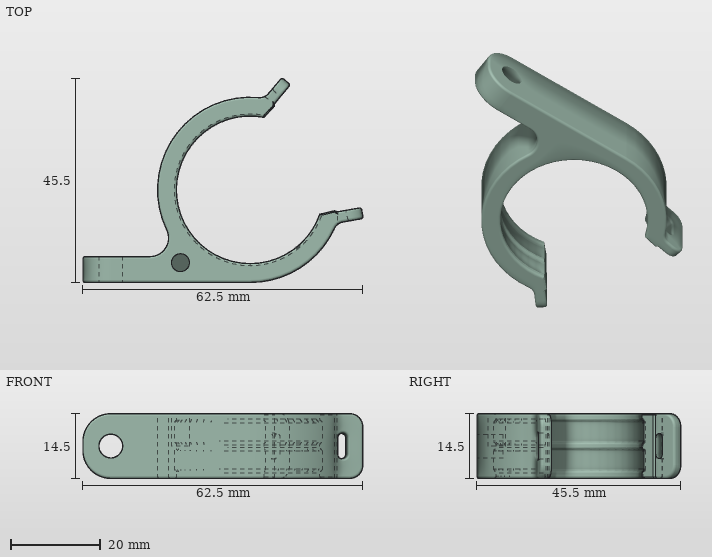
import cadquery as cq
import math


overall_length = 62.5
height = 14.5
half_height = height / 2
ring_radius = 20.7
bore_radius = 16.45
edge_radius = 0.55

lug_front_y = -ring_radius
lug_thickness = 5.8
lug_back_y = lug_front_y + lug_thickness
lug_corner_radius = 6.25
lug_fillet_radius = 4.1
screw_hole_diameter = 5.25

pin_hole_x = -15.55
pin_hole_y = -16.25
pin_hole_diameter = 4.0
pin_hole_depth = half_height

mouth_angle = 30.0
tip_angle = 20.0
tip_inner_offset = 8.2
tip_outer_offset = 10.7
tip_end = 23.75
tip_start = 18.2
tip_neck_radius = 2.5
tip_corner_radius = 3.0
lip_angle = 49.3
lip_end = (14.0, 13.45)
lip_chamfer = 0.3

slot_width = 2.4
slot_length = 6.0
slot_middle = 19.2
slot_edge_radius = 0.5
slot_draft = 5.0
slot_depth = 5.0
slot_start = 0.6

rib_pitch = 6.3
rib_crest = 0.55
rib_height = 0.5
rib_round = 0.5


def polar(radius, degrees):
    angle = math.radians(degrees)
    return (radius * math.cos(angle), radius * math.sin(angle))


def from_mouth(along, across, side):
    """Point given along and across the mouth line; side is +1 (upper) or -1 (lower)."""
    ux, uy = polar(1, mouth_angle)
    return (along * ux - side * across * uy, along * uy + side * across * ux)


def from_tip(along, offset, side):
    """Point given along the tip direction and by its distance from the ring axis."""
    tx, ty = polar(1, tip_angle)
    return from_mouth(along * tx - offset * ty, along * ty + offset * tx, side)


def from_mouth_polar(radius, degrees, side):
    return from_mouth(*polar(radius, degrees), side)


neck_reach = ring_radius + tip_neck_radius
neck_offset = tip_outer_offset + tip_neck_radius
neck_along = math.sqrt(neck_reach ** 2 - neck_offset ** 2)
neck_turn = math.degrees(math.atan2(neck_offset, neck_along))
neck_angle = tip_angle + neck_turn

tip_reach = from_tip(tip_end - edge_radius, tip_outer_offset - edge_radius, -1)[0] + edge_radius
lug_end_x = tip_reach - overall_length

lug_fillet_y = lug_back_y + lug_fillet_radius
lug_fillet_x = -math.sqrt((ring_radius + lug_fillet_radius) ** 2 - lug_fillet_y ** 2)
lug_fillet_angle = math.degrees(math.atan2(lug_fillet_y, lug_fillet_x)) % 360
lug_fillet_end = polar(ring_radius, lug_fillet_angle)
lug_fillet_middle_angle = (lug_fillet_angle - 180 - 90) / 2
lug_fillet_dx, lug_fillet_dy = polar(lug_fillet_radius, lug_fillet_middle_angle)


def neck_middle(side):
    """Middle of the neck arc, which sweeps from facing the ring axis to facing the tip."""
    start_angle = neck_turn + 180
    end_angle = 270
    arc_angle = (start_angle + end_angle) / 2
    along, offset = polar(tip_neck_radius, arc_angle)
    return from_tip(neck_along + along, neck_offset + offset, side)


def make_body():
    upper, lower = 1, -1
    ring_middle = polar(ring_radius, (mouth_angle + neck_angle + lug_fillet_angle) / 2)
    lower_ring_middle = polar(ring_radius, (mouth_angle - neck_angle - 90) / 2)
    outline = (
        cq.Workplane("XY", origin=(0, 0, -half_height))
        .moveTo(0, lug_front_y)
        .lineTo(lug_end_x, lug_front_y)
        .lineTo(lug_end_x, lug_back_y)
        .lineTo(lug_fillet_x, lug_back_y)
        .threePointArc(
            (lug_fillet_x + lug_fillet_dx, lug_fillet_y + lug_fillet_dy),
            lug_fillet_end,
        )
        .threePointArc(ring_middle, from_mouth_polar(ring_radius, neck_angle, upper))
        .threePointArc(neck_middle(upper), from_tip(neck_along, tip_outer_offset, upper))
        .lineTo(*from_tip(tip_end, tip_outer_offset, upper))
        .lineTo(*from_tip(tip_end, tip_inner_offset, upper))
        .lineTo(*from_tip(tip_start, tip_inner_offset, upper))
        .lineTo(*from_mouth(*lip_end, upper))
        .lineTo(*from_mouth_polar(bore_radius, lip_angle, upper))
        .threePointArc(
            polar(bore_radius, mouth_angle + 180),
            from_mouth_polar(bore_radius, lip_angle, lower),
        )
        .lineTo(*from_mouth(*lip_end, lower))
        .lineTo(*from_tip(tip_start, tip_inner_offset, lower))
        .lineTo(*from_tip(tip_end, tip_inner_offset, lower))
        .lineTo(*from_tip(tip_end, tip_outer_offset, lower))
        .lineTo(*from_tip(neck_along, tip_outer_offset, lower))
        .threePointArc(neck_middle(lower), from_mouth_polar(ring_radius, neck_angle, lower))
        .threePointArc(lower_ring_middle, (0, lug_front_y))
        .close()
    )
    return outline.extrude(height)


def midpoint(start, end):
    return ((start[0] + end[0]) / 2, (start[1] + end[1]) / 2)


def edge_near(body, point, z):
    return body.edges(cq.NearestToPointSelector((point[0], point[1], z)))


def round_ends(body):
    """Round the lug end and both tips as seen square to their flat faces."""
    lug_end = (lug_end_x, (lug_front_y + lug_back_y) / 2)
    tip_middle = (tip_inner_offset + tip_outer_offset) / 2
    corners = [(lug_end, lug_corner_radius)]
    for side in (1, -1):
        corners.append((from_tip(tip_end, tip_middle, side), tip_corner_radius))
    for point, radius in corners:
        for z in (half_height, -half_height):
            body = edge_near(body, point, z).fillet(radius)
    return body


def soften_edges(body):
    """Round the outer rims; each fillet runs on along its whole smooth chain of edges."""
    lug_front = (lug_end_x + lug_corner_radius) / 2, lug_front_y
    lug_back = (lug_end_x + lug_corner_radius + lug_fillet_x) / 2, lug_back_y
    tip_flat_middle = (tip_start + tip_end - tip_corner_radius) / 2
    rims = [lug_front, lug_back]
    for side in (1, -1):
        rims.append(from_tip(tip_flat_middle, tip_inner_offset, side))
    for point in rims:
        body = edge_near(body, point, half_height).fillet(edge_radius)
    return body


def bevel_mouth(body):
    """Bevel the rims of each mouth face and of the short step between it and the tip."""
    lip_middle = midpoint(polar(bore_radius, lip_angle), lip_end)
    for side in (1, -1):
        step_middle = midpoint(from_tip(tip_start, tip_inner_offset, side), from_mouth(*lip_end, side))
        for z in (half_height, -half_height):
            rims = edge_near(body, from_mouth(*lip_middle, side), z)
            rims = rims.add(edge_near(body, step_middle, z))
            body = rims.chamfer(lip_chamfer)
    return body


def cut_rim_rounds(body):
    """Round both rims of the bore."""
    rim_radius = bore_radius + edge_radius
    arc_leg = edge_radius * math.sin(math.radians(45))
    for end in (1, -1):
        arc_z = end * (half_height - edge_radius)
        rim = (
            cq.Workplane("XZ")
            .moveTo(bore_radius, arc_z)
            .threePointArc(
                (rim_radius - arc_leg, arc_z + end * arc_leg),
                (rim_radius, end * half_height),
            )
            .lineTo(0, end * half_height)
            .lineTo(0, arc_z)
            .close()
            .revolve(360, (0, 0, 0), (0, 1, 0))
        )
        body = body.cut(rim)
    return body


def cut_bore_grooves(body):
    """Cut two grooves into the bore, leaving three ribs with S-shaped flanks."""
    floor = bore_radius + rib_height
    middle = bore_radius + rib_height / 2
    half_mouth = (rib_pitch - rib_crest) / 2
    turn = math.acos(1 - rib_height / 2 / rib_round)
    half_run = rib_round * math.sin(turn)
    bow_run = rib_round * math.sin(turn / 2)
    bow_rise = rib_round * (1 - math.cos(turn / 2))
    half_floor = half_mouth - 2 * half_run
    for z in (-rib_pitch / 2, rib_pitch / 2):
        groove = (
            cq.Workplane("XZ")
            .moveTo(bore_radius, z - half_mouth)
            .threePointArc(
                (bore_radius + bow_rise, z - half_mouth + bow_run),
                (middle, z - half_mouth + half_run),
            )
            .threePointArc(
                (floor - bow_rise, z - half_floor - bow_run),
                (floor, z - half_floor),
            )
            .lineTo(floor, z + half_floor)
            .threePointArc(
                (floor - bow_rise, z + half_floor + bow_run),
                (middle, z + half_mouth - half_run),
            )
            .threePointArc(
                (bore_radius + bow_rise, z + half_mouth - bow_run),
                (bore_radius, z + half_mouth),
            )
            .lineTo(bore_radius - rib_height, z + half_mouth)
            .lineTo(bore_radius - rib_height, z - half_mouth)
            .close()
            .revolve(360, (0, 0, 0), (0, 1, 0))
        )
        body = body.cut(groove)
    return body


def cut_slot(body, side):
    """Cut a drafted slot through one tip and round its outer rim."""
    direction = mouth_angle + side * tip_angle
    inward = polar(1, direction - side * 90)
    plane = cq.Plane(
        origin=(*from_tip(slot_middle, tip_outer_offset + slot_start, side), 0),
        xDir=(0, 0, 1),
        normal=(*inward, 0),
    )
    flare = 2 * slot_start * math.tan(math.radians(slot_draft))
    slot = (
        cq.Workplane(plane)
        .slot2D(slot_length + flare, slot_width + flare)
        .extrude(slot_depth, taper=slot_draft)
    )
    body = body.cut(slot)
    rim = from_tip(slot_middle + slot_width / 2, tip_outer_offset, side)
    return edge_near(body, rim, 0).fillet(slot_edge_radius)


def cut_holes(body):
    screw_hole = (
        cq.Workplane("XZ", origin=(lug_end_x + lug_corner_radius, lug_back_y, 0))
        .circle(screw_hole_diameter / 2)
        .extrude(lug_thickness)
    )
    pin_hole = (
        cq.Workplane("XY", origin=(pin_hole_x, pin_hole_y, half_height))
        .circle(pin_hole_diameter / 2)
        .extrude(-pin_hole_depth)
    )
    return body.cut(screw_hole).cut(pin_hole)


result = soften_edges(round_ends(make_body()))
result = bevel_mouth(result)
result = cut_rim_rounds(result)
result = cut_bore_grooves(result)
for tip_side in (1, -1):
    result = cut_slot(result, tip_side)
result = cut_holes(result)